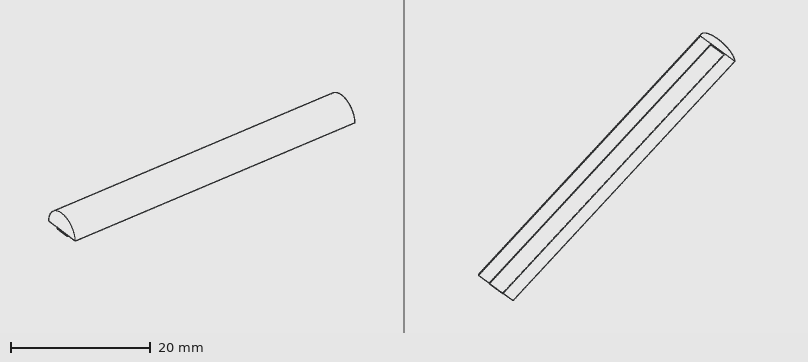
import cadquery as cq

length = 50.0
body_width = 6.4
total_height = 3.4
rail_width = 2.5
rail_height = 0.3
rail_end_gap = 0.05

body_height = total_height - rail_height
half_width = body_width / 2

body = (
    cq.Workplane("XZ")
    .moveTo(-half_width, 0)
    .threePointArc((0, body_height), (half_width, 0))
    .close()
    .extrude(-length)
)

rail = (
    cq.Workplane("XY")
    .box(rail_width, length - 2 * rail_end_gap, rail_height, centered=(True, False, False))
    .translate((0, rail_end_gap, -rail_height))
)

result = body.union(rail)